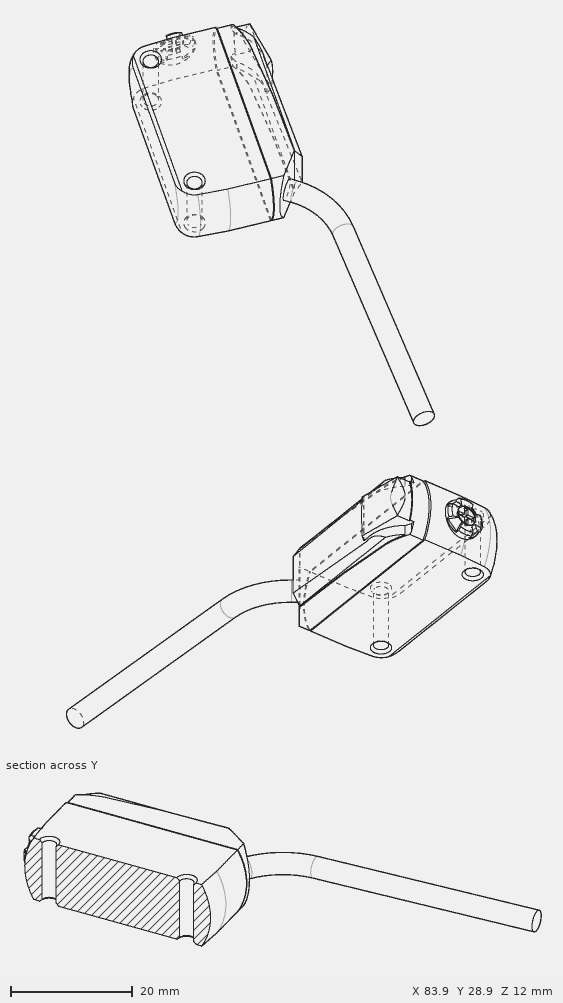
import cadquery as cq
import math

height = 12.0
half_height = height / 2
right_end = 36.2
end_bow = 1.7
seam_y = 15.35
seam_gap = 0.2

case_left = 1.2
taper_start_y = 8.0
taper_inset = 0.5
corner_radius = 3.1
front_bevel_y = 0.7
front_bevel_z = 0.25
hole_xs = (6.0, 31.45)
hole_y = 3.2
hole_diameter = 2.5
countersink_diameter = 3.5
countersink_depth = 0.5

dial_y = 8.8
dial_radius = 3.5
dial_root = 2.0
dial_chamfer = 0.5
flank_inner = 1.9
flank_outer = 3.0
flank_inner_width = 0.9
flank_outer_width = 2.4
dial_recess_radius = 1.8
dial_recess_depth = 0.2
slot_length = 3.0
slot_width = 0.7
slot_depth = 0.75

cover_left = 1.4
curve_start = (2.85, 18.0)
curve_middle = (4.95, 18.95)
curve_end = (7.55, 19.6)
edge_bend = (18.45, 20.4)
top_y = 20.6
slope_start_x = 30.2
slope_end_y = 16.35

crest_half_width = 5.8
crest_flat_half_width = 3.7
crest_left = (3.85, 18.6)
crest_mid = (10.5, 21.5)
crest_bulge = (6.4, 20.7)
crest_y = 22.0
crest_shoulder_y = 20.7

cap_half_width = 3.9
cap_left = 1.7
cap_ledge_y = 18.8
cap_corner_start = (cap_left, 20.1)
cap_corner_middle = (2.35, 21.2)
cap_corner_end = (3.85, 21.9)
cap_tip = (10.0, 22.9)
cap_foot = (11.2, 21.55)
cap_crown_radius = 18.45

cable_diameter = 3.7
cable_radius = cable_diameter / 2
cable_angle = 3.0
cable_tip_x = 83.85
cable_tip_y = 28.85
bend_end_x = 43.9
bend_radius = 12.9
cable_stub = 2.5


def bowed_outline(plane, left, right):
    """Closed outline across X and Z whose two ends are arcs bulging at mid-height."""
    return (
        plane.moveTo(left + end_bow, -half_height)
        .lineTo(right - end_bow, -half_height)
        .threePointArc((right, 0), (right - end_bow, half_height))
        .lineTo(left + end_bow, half_height)
        .threePointArc((left, 0), (left + end_bow, -half_height))
        .close()
    )


def bowed_block(left, right, y_low, y_high):
    plane = cq.Workplane("XZ", origin=(0, y_low, 0))
    return bowed_outline(plane, left, right).extrude(y_low - y_high)


def tapered_block():
    """Lower part of the case, narrowing from the taper start down to Y = 0."""
    wide = bowed_outline(cq.Workplane("XZ", origin=(0, taper_start_y, 0)), case_left, right_end)
    narrow = bowed_outline(
        wide.workplane(offset=taper_start_y), case_left + taper_inset, right_end - taper_inset
    )
    return narrow.loft(ruled=True)


def front_bevel():
    """Wedge that bevels the front edge of the upper face."""
    return (
        cq.Workplane("YZ")
        .polyline([
            (0, half_height),
            (front_bevel_y, half_height),
            (0, half_height - front_bevel_z),
        ])
        .close()
        .extrude(right_end)
    )


def case_shell():
    lower = tapered_block()
    lower = lower.faces("<Y").edges("not(|X)").fillet(corner_radius)
    lower = lower.cut(front_bevel()).cut(front_bevel().mirror("XY"))
    upper = bowed_block(case_left, right_end, taper_start_y, seam_y - seam_gap / 2)
    return lower.union(upper)


def mounting_hole(x):
    hole = cq.Workplane("XY", origin=(x, hole_y, -half_height)).circle(hole_diameter / 2).extrude(height)
    for side in (-1, 1):
        cone = cq.Solid.makeCone(
            countersink_diameter / 2,
            hole_diameter / 2,
            countersink_depth,
            pnt=cq.Vector(x, hole_y, side * half_height),
            dir=cq.Vector(0, 0, -side),
        )
        hole = hole.union(cq.Workplane(cone))
    return hole


def dial_flank():
    """Cutter for one flank: it slopes down and widens outwards along +Y."""
    far = 2 * flank_outer - flank_inner
    far_width = 2 * flank_outer_width - flank_inner_width
    slope = (
        cq.Workplane("XY")
        .polyline([(0, flank_inner), (case_left, flank_outer), (case_left, far), (0, far)])
        .close()
        .extrude(far_width, both=True)
    )
    fan = (
        cq.Workplane("YZ")
        .polyline([
            (flank_inner, -flank_inner_width / 2),
            (far, -far_width / 2),
            (far, far_width / 2),
            (flank_inner, flank_inner_width / 2),
        ])
        .close()
        .extrude(case_left)
    )
    return slope.intersect(fan)


def dial():
    """Screw head with four sloped diagonal flanks and a cross slot, centred on the X axis."""
    face = cq.Workplane("YZ")
    head = face.circle(dial_radius).extrude(dial_root).faces("<X").edges().chamfer(dial_chamfer)
    flank = dial_flank()
    for quarter in range(4):
        head = head.cut(flank.rotate((0, 0, 0), (1, 0, 0), 45 + 90 * quarter))
    head = head.cut(face.circle(dial_recess_radius).extrude(dial_recess_depth))
    head = head.cut(face.rect(slot_length, slot_width).extrude(slot_depth))
    head = head.cut(face.rect(slot_width, slot_length).extrude(slot_depth))
    return head.translate((0, dial_y, 0))


def make_case():
    case = case_shell().union(dial())
    for x in hole_xs:
        case = case.cut(mounting_hole(x))
    return case


def slab(outline, half_width):
    return outline.close().extrude(half_width, both=True)


def cover_shell():
    bottom = seam_y + seam_gap / 2
    profile = (
        cq.Workplane("XY")
        .moveTo(cover_left, bottom)
        .lineTo(right_end, bottom)
        .lineTo(right_end, slope_end_y)
        .lineTo(slope_start_x, top_y)
        .lineTo(*edge_bend)
        .lineTo(*curve_end)
        .threePointArc(curve_middle, curve_start)
        .lineTo(cover_left, curve_start[1])
    )
    return slab(profile, half_height).intersect(bowed_block(cover_left, right_end, bottom, top_y))


def crest():
    profile = (
        cq.Workplane("XY")
        .moveTo(crest_left[0], seam_y + seam_gap)
        .lineTo(slope_start_x, seam_y + seam_gap)
        .lineTo(slope_start_x, crest_y)
        .lineTo(*crest_mid)
        .threePointArc(crest_bulge, crest_left)
    )
    ridge = slab(profile, crest_half_width)
    shoulder = (
        cq.Workplane("YZ")
        .polyline([
            (crest_y, crest_flat_half_width),
            (crest_shoulder_y, crest_half_width),
            (crest_y, crest_half_width),
        ])
        .close()
        .extrude(slope_start_x)
    )
    return ridge.cut(shoulder).cut(shoulder.mirror("XY"))


def cap():
    base_y = seam_y + seam_gap
    profile = (
        cq.Workplane("XY")
        .moveTo(cover_left, base_y)
        .lineTo(cap_foot[0], base_y)
        .lineTo(*cap_foot)
        .lineTo(*cap_tip)
        .lineTo(*cap_corner_end)
        .threePointArc(cap_corner_middle, cap_corner_start)
        .lineTo(cap_left, cap_ledge_y)
        .lineTo(cover_left, cap_ledge_y)
    )
    block = slab(profile, cap_half_width)
    ledge = bowed_block(cover_left, right_end, base_y, cap_ledge_y)
    upper = bowed_block(cap_left, right_end, cap_ledge_y, cable_tip_y)
    return block.intersect(ledge.union(upper)).intersect(cap_crown())


def cap_crown():
    """Cylinder lying along the cap's sloping top and touching it at mid-width."""
    along = cq.Vector(cap_tip[0] - cap_corner_end[0], cap_tip[1] - cap_corner_end[1], 0).normalized()
    downward = cq.Vector(along.y, -along.x, 0)
    start = cq.Vector(*cap_tip, 0) + downward * cap_crown_radius - along * cap_crown_radius
    return cq.Workplane(cq.Solid.makeCylinder(cap_crown_radius, 2 * cap_crown_radius, start, along))


def cable():
    angle = math.radians(cable_angle)
    stub_angle = math.atan2(right_end - slope_start_x, top_y - slope_end_y)
    tip = (cable_tip_x - cable_radius * math.sin(angle), cable_tip_y - cable_radius * math.cos(angle))
    bend_end = (bend_end_x, tip[1] - (tip[0] - bend_end_x) * math.tan(angle))
    centre = (bend_end[0] + bend_radius * math.sin(angle), bend_end[1] - bend_radius * math.cos(angle))

    def on_bend(direction):
        return (centre[0] - bend_radius * math.sin(direction), centre[1] + bend_radius * math.cos(direction))

    bend_start = on_bend(stub_angle)
    root = (
        bend_start[0] - cable_stub * math.cos(stub_angle),
        bend_start[1] - cable_stub * math.sin(stub_angle),
    )
    path = (
        cq.Workplane("XY")
        .moveTo(*root)
        .lineTo(*bend_start)
        .threePointArc(on_bend((stub_angle + angle) / 2), bend_end)
        .lineTo(*tip)
    )
    start = cq.Plane(
        origin=(root[0], root[1], 0),
        xDir=(0, 0, 1),
        normal=(math.cos(stub_angle), math.sin(stub_angle), 0),
    )
    return cq.Workplane(start).circle(cable_radius).sweep(path)


def make_cover():
    return cover_shell().union(crest()).union(cap()).union(cable())


case = make_case()
cover = make_cover()
result = cq.Compound.makeCompound([case.solids().val(), cover.solids().val()])